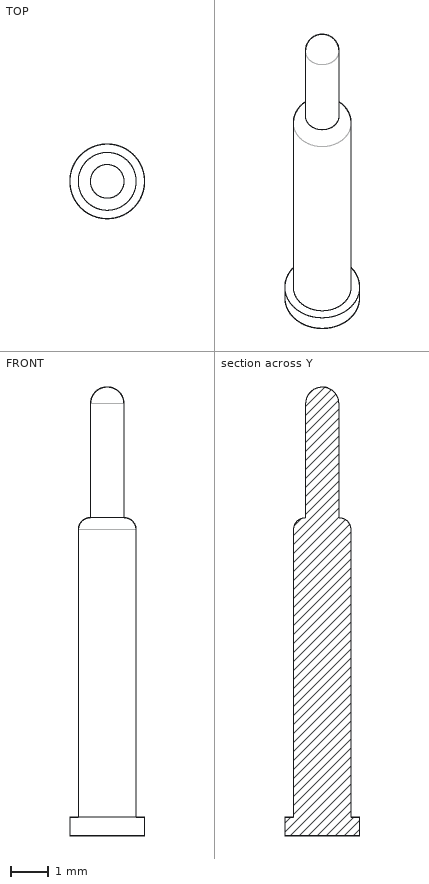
import cadquery as cq
import math

length = 12.0
head_diameter = 2.0
head_thickness = 0.5
barrel_diameter = 1.55
barrel_top = 8.51
plunger_diameter = 0.9

head_radius = head_diameter / 2
barrel_radius = barrel_diameter / 2
plunger_radius = plunger_diameter / 2
shoulder_radius = barrel_radius - plunger_radius


def turned_body():
    """Head, barrel with rounded shoulder, and dome-tipped plunger, revolved about Z."""
    diagonal = math.sqrt(0.5)
    shoulder_start = barrel_top - shoulder_radius
    dome_start = length - plunger_radius
    shoulder_mid = (
        plunger_radius + shoulder_radius * diagonal,
        shoulder_start + shoulder_radius * diagonal,
    )
    dome_mid = (plunger_radius * diagonal, dome_start + plunger_radius * diagonal)
    return (
        cq.Workplane("XZ")
        .lineTo(head_radius, 0)
        .lineTo(head_radius, head_thickness)
        .lineTo(barrel_radius, head_thickness)
        .lineTo(barrel_radius, shoulder_start)
        .threePointArc(shoulder_mid, (plunger_radius, barrel_top))
        .lineTo(plunger_radius, dome_start)
        .threePointArc(dome_mid, (0, length))
        .close()
        .revolve(360, (0, 0, 0), (0, 1, 0))
    )


result = turned_body()